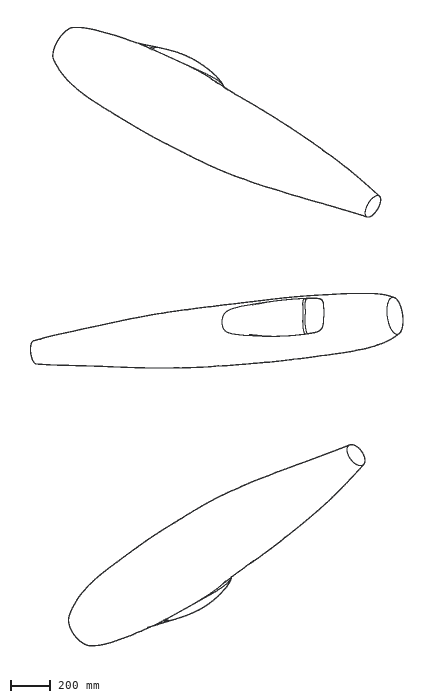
import cadquery as cq
import math


LENGTH = 1943.86
HALF_WIDTH = 142.1
CANOPY_TOP = 310.0
BELLY = -181.2

ROUND = 2.0
CROWN = 2.2
BOXY = 3.5
HUMP = 1.55

POINTS_PER_QUARTER = 8

COCKPIT_FRONT = 303.0
COCKPIT_FRONT_Y = 197.0
COCKPIT_REAR = 848.0
COCKPIT_REAR_Y = 224.0
SILL_LOW_X = 390.0
SILL_LOW_Y = 164.0
SILL_MID_X = 620.0
SILL_MID_Y = 188.0
FRONT_BEND_X = 330.0
FRONT_BEND_Y = 170.0

FRAME_THICKNESS = 13.0
FRAME_FOOT_X = 408.0
FRAME_FOOT_Y = 150.0
FRAME_MID_X = 400.0
FRAME_MID_Y = 203.0
FRAME_TOP_X = 370.0
FRAME_TOP_Y = 268.0

CUT_CLEARANCE = 20.0
CUT_TOP = CANOPY_TOP + CUT_CLEARANCE
CUT_HALF_DEPTH = HALF_WIDTH + CUT_CLEARANCE

COCKPIT_START = (COCKPIT_FRONT, COCKPIT_FRONT_Y, -172, -38, 138, CROWN, 3.2)
COCKPIT_MID = (580, 236, BELLY, -43, HALF_WIDTH, CROWN, BOXY)
COCKPIT_END = (COCKPIT_REAR, 222, -180, -38, 141, CROWN, BOXY)
FUSELAGE_STATIONS = [
    (0, 101, -105, -3, 93, ROUND, ROUND),
    (50, 126, -131, -9, 112, 2.05, 2.2),
    (140, 159, -155, -22, 128, 2.1, 2.7),
    COCKPIT_START,
    COCKPIT_MID,
    COCKPIT_END,
    (1170, 208, -168, -20, 134, CROWN, 3.0),
    (1450, 188, -129, 5, 114, 2.1, 2.5),
    (1690, 158, -80, 25, 89, ROUND, 2.2),
    (1830, 128, -48, 34, 75, ROUND, ROUND),
    (LENGTH, 101, -24, 38, 59, ROUND, ROUND),
]

CANOPY_STATIONS = [
    COCKPIT_START,
    (381, 247, -177, -41, 140, 1.8, BOXY),
    (475, 295, -180, -42, 141, 1.6, BOXY),
    (600, CANOPY_TOP, BELLY, -43, HALF_WIDTH, HUMP, BOXY),
    (730, 287, -181, -41, 142, 1.65, BOXY),
    COCKPIT_END,
]


def power(value, exponent):
    """Raise the size of value to exponent, keeping its sign."""
    return math.copysign(abs(value) ** exponent, value)


def section(station):
    """Closed egg-shaped wire across X, starting at the bottom centre."""
    x, top, bottom, waist, half_width, upper, lower = station
    count = 4 * POINTS_PER_QUARTER
    points = []
    for i in range(count):
        angle = 2 * math.pi * i / count - math.pi / 2
        is_upper = math.sin(angle) > 0
        exponent = 2 / (upper if is_upper else lower)
        height = top - waist if is_upper else waist - bottom
        y = waist + height * power(math.sin(angle), exponent)
        z = half_width * power(math.cos(angle), exponent)
        points.append(cq.Vector(x, y, z))
    return cq.Wire.assembleEdges([cq.Edge.makeSpline(points, periodic=True)])


def skin(stations):
    """Smooth solid through all the stations."""
    return cq.Workplane(cq.Solid.makeLoft([section(s) for s in stations]))


def cockpit_cutter():
    """Everything above the cockpit sill line."""
    return (
        cq.Workplane("XY")
        .moveTo(COCKPIT_FRONT, COCKPIT_FRONT_Y)
        .spline(
            [(FRONT_BEND_X, FRONT_BEND_Y), (SILL_LOW_X, SILL_LOW_Y),
             (SILL_MID_X, SILL_MID_Y), (COCKPIT_REAR, COCKPIT_REAR_Y)],
            includeCurrent=True,
        )
        .lineTo(COCKPIT_REAR, CUT_TOP)
        .lineTo(COCKPIT_FRONT, CUT_TOP)
        .close()
        .extrude(CUT_HALF_DEPTH, both=True)
    )


def behind_frame_curve(offset):
    """Everything aft of the frame's curve, moved aft by offset."""
    return (
        cq.Workplane("XY")
        .moveTo(FRAME_FOOT_X + offset, FRAME_FOOT_Y)
        .threePointArc((FRAME_MID_X + offset, FRAME_MID_Y), (FRAME_TOP_X + offset, FRAME_TOP_Y))
        .lineTo(FRAME_TOP_X + offset, CUT_TOP)
        .lineTo(COCKPIT_REAR + offset, CUT_TOP)
        .lineTo(COCKPIT_REAR + offset, FRAME_FOOT_Y)
        .close()
        .extrude(CUT_HALF_DEPTH, both=True)
    )


cutter = cockpit_cutter()
glazing = skin(CANOPY_STATIONS).intersect(cutter)
aft_of_windscreen = behind_frame_curve(0)
aft_of_frame = behind_frame_curve(FRAME_THICKNESS)

fuselage = skin(FUSELAGE_STATIONS).cut(cutter)
windscreen = glazing.cut(aft_of_windscreen)
frame = glazing.intersect(aft_of_windscreen).cut(aft_of_frame)
canopy = glazing.intersect(aft_of_frame)

bodies = [fuselage, windscreen, frame, canopy]
result = cq.Compound.makeCompound([body.solids().val() for body in bodies])